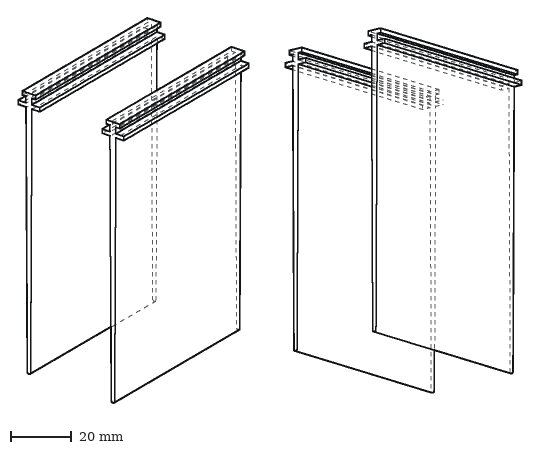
import cadquery as cq

HEIGHT = 103.8
LENGTH = 68.0
OVERALL_WIDTH = 44.0

FLANGE_WIDTH = 9.0
HEAD_WIDTH = 5.5
STEM_WIDTH = 2.5
TIP_WIDTH = 1.5
RAIL_THICKNESS = 1.6
RAIL_GAP = 2.4
TIP_RADIUS = 0.72

TOP_Z = HEIGHT / 2
BOTTOM_Z = -HEIGHT / 2
HEAD_BOTTOM_Z = TOP_Z - RAIL_THICKNESS
FLANGE_TOP_Z = HEAD_BOTTOM_Z - RAIL_GAP
FLANGE_BOTTOM_Z = FLANGE_TOP_Z - RAIL_THICKNESS
PANEL_PITCH = OVERALL_WIDTH - FLANGE_WIDTH
PANEL_CENTRES_X = (-PANEL_PITCH / 2, PANEL_PITCH / 2)


def make_rail(width, bottom_z):
    """Flat strip running the full length, centred on the panel."""
    return (
        cq.Workplane("XY")
        .workplane(offset=bottom_z)
        .rect(width, LENGTH)
        .extrude(RAIL_THICKNESS)
    )


def make_neck():
    """Straight stem from the underside of the flange up to the head."""
    return (
        cq.Workplane("XY")
        .workplane(offset=FLANGE_BOTTOM_Z)
        .rect(STEM_WIDTH, LENGTH)
        .extrude(HEAD_BOTTOM_Z - FLANGE_BOTTOM_Z)
    )


def make_blade():
    """Sheet that tapers from the flange down to a rounded lower edge."""
    blade = (
        cq.Workplane("XZ")
        .moveTo(-STEM_WIDTH / 2, FLANGE_BOTTOM_Z)
        .lineTo(STEM_WIDTH / 2, FLANGE_BOTTOM_Z)
        .lineTo(TIP_WIDTH / 2, BOTTOM_Z)
        .lineTo(-TIP_WIDTH / 2, BOTTOM_Z)
        .close()
        .extrude(LENGTH / 2, both=True)
    )
    return blade.faces("<Z").edges("|Y").fillet(TIP_RADIUS)


def make_panel(centre_x):
    """One hanging panel: T-shaped head, flange and tapered blade."""
    head = make_rail(HEAD_WIDTH, HEAD_BOTTOM_Z)
    flange = make_rail(FLANGE_WIDTH, FLANGE_BOTTOM_Z)
    panel = head.union(make_neck()).union(flange).union(make_blade())
    return panel.translate((centre_x, 0, 0))


panels = [make_panel(centre_x) for centre_x in PANEL_CENTRES_X]

result = cq.Compound.makeCompound([panel.val() for panel in panels])